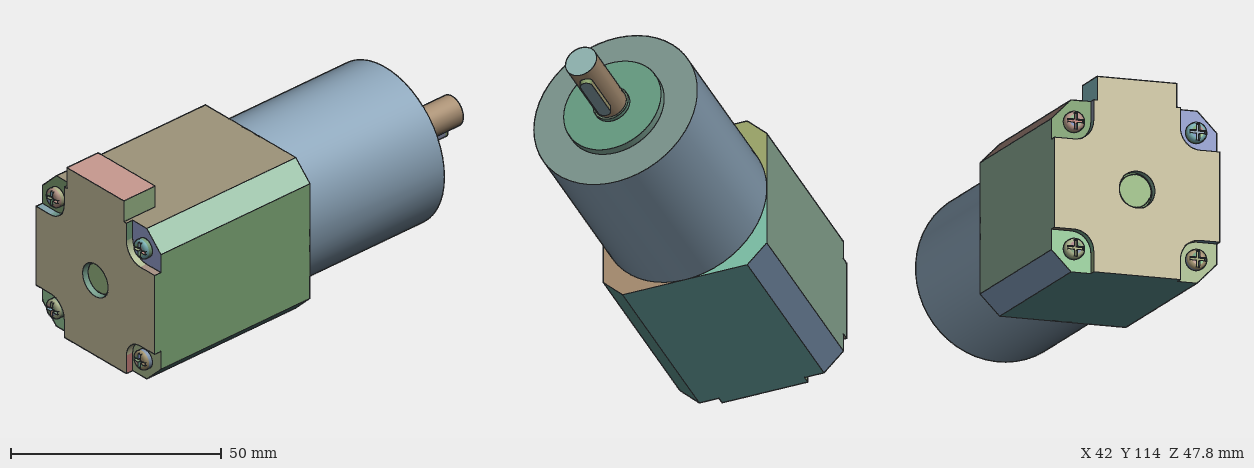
import cadquery as cq


BODY_SIZE = 42.0
BODY_LENGTH = 49.6
BODY_BEVEL = 5.0

GEARBOX_DIAMETER = BODY_SIZE
GEARBOX_LENGTH = 43.0
PILOT_DIAMETER = 25.0
PILOT_LENGTH = 2.0

SHAFT_DIAMETER = 8.0
SHAFT_LENGTH = 19.4
SHOULDER_DIAMETER = 9.0
SHOULDER_LENGTH = 1.0
KEY_WIDTH = 3.0
KEY_LENGTH = 14.0
KEY_HEIGHT = 3.0
KEY_PROJECTION = 1.2
KEY_END_GAP = 1.9

CONNECTOR_WIDTH = 20.2
CONNECTOR_LENGTH = 10.0
CONNECTOR_HEIGHT = 5.8

RECESS_SIZE = 10.0
RECESS_RADIUS = 5.0
RECESS_DEPTH = 2.0
SCREW_SPACING = 31.0
SCREW_DIAMETER = 5.0
SCREW_HEIGHT = RECESS_DEPTH
SCREW_ROUNDING = 1.0
CROSS_LENGTH = 4.0
CROSS_WIDTH = 0.8
CROSS_DEPTH = 1.0

REAR_BORE_DIAMETER = 9.0
REAR_BORE_DEPTH = 2.0
REAR_SHAFT_DIAMETER = 8.0
REAR_SHAFT_SETBACK = 1.3

GEARBOX_END = BODY_LENGTH + GEARBOX_LENGTH
PILOT_END = GEARBOX_END + PILOT_LENGTH
SHAFT_END = PILOT_END + SHAFT_LENGTH

SIDES = (-1, 1)


def box(x_range, y_range, z_range):
    """Box spanning the given ranges."""
    size = [high - low for low, high in (x_range, y_range, z_range)]
    corner = (x_range[0], y_range[0], z_range[0])
    return cq.Workplane("XY").box(*size, centered=False).translate(corner)


def cylinder(diameter, start, end):
    """Cylinder on the motor axis from Y = start to Y = end."""
    return cq.Workplane("XZ", origin=(0, start, 0)).circle(diameter / 2).extrude(start - end)


def motor_body():
    body = box(
        (-BODY_SIZE / 2, BODY_SIZE / 2),
        (0, BODY_LENGTH),
        (-BODY_SIZE / 2, BODY_SIZE / 2),
    )
    return body.edges("|Y").chamfer(BODY_BEVEL)


def connector():
    return box(
        (-CONNECTOR_WIDTH / 2, CONNECTOR_WIDTH / 2),
        (0, CONNECTOR_LENGTH),
        (0, BODY_SIZE / 2 + CONNECTOR_HEIGHT),
    )


def corner_recess(x_side, z_side):
    """Rounded square pocket open at one corner of the rear face."""
    outer = BODY_SIZE / 2
    inner = outer - RECESS_SIZE
    xs = sorted((x_side * inner, x_side * outer))
    zs = sorted((z_side * inner, z_side * outer))
    pocket = box(xs, (0, RECESS_DEPTH), zs)
    inner_edge = cq.selectors.NearestToPointSelector((x_side * inner, RECESS_DEPTH / 2, z_side * inner))
    return pocket.edges("|Y").edges(inner_edge).fillet(RECESS_RADIUS)


def screw_head():
    """Cross-recessed screw head with a rounded rim, standing on the recess floor at X = Z = 0."""
    head = cylinder(SCREW_DIAMETER, -SCREW_HEIGHT, 0)
    head = head.faces("<Y").edges().fillet(SCREW_ROUNDING)
    cross_depths = (-SCREW_HEIGHT, CROSS_DEPTH - SCREW_HEIGHT)
    long_range = (-CROSS_LENGTH / 2, CROSS_LENGTH / 2)
    short_range = (-CROSS_WIDTH / 2, CROSS_WIDTH / 2)
    head = head.cut(box(long_range, cross_depths, short_range))
    head = head.cut(box(short_range, cross_depths, long_range))
    return head.translate((0, RECESS_DEPTH, 0))


def add_corner_screws(part):
    head = screw_head()
    offset = SCREW_SPACING / 2
    for x_side in SIDES:
        for z_side in SIDES:
            part = part.cut(corner_recess(x_side, z_side))
            part = part.union(head.translate((x_side * offset, 0, z_side * offset)))
    return part


def add_rear_bore(part):
    part = part.cut(cylinder(REAR_BORE_DIAMETER, 0, REAR_BORE_DEPTH))
    return part.union(cylinder(REAR_SHAFT_DIAMETER, REAR_SHAFT_SETBACK, BODY_LENGTH))


def output_shaft():
    shaft = cylinder(SHAFT_DIAMETER, GEARBOX_END, SHAFT_END)
    shoulder = cylinder(SHOULDER_DIAMETER, GEARBOX_END, PILOT_END + SHOULDER_LENGTH)
    return shaft.union(shoulder)


def shaft_key():
    """Round-ended parallel key standing out of the underside of the shaft."""
    bottom = -SHAFT_DIAMETER / 2 - KEY_PROJECTION
    centre = SHAFT_END - KEY_END_GAP - KEY_LENGTH / 2
    return (
        cq.Workplane("XY", origin=(0, centre, bottom))
        .slot2D(KEY_LENGTH, KEY_WIDTH, 90)
        .extrude(KEY_HEIGHT)
    )


result = motor_body().union(connector())
result = add_corner_screws(result)
result = add_rear_bore(result)
result = result.union(cylinder(GEARBOX_DIAMETER, BODY_LENGTH, GEARBOX_END))
result = result.union(cylinder(PILOT_DIAMETER, GEARBOX_END, PILOT_END))
result = result.union(output_shaft()).union(shaft_key())